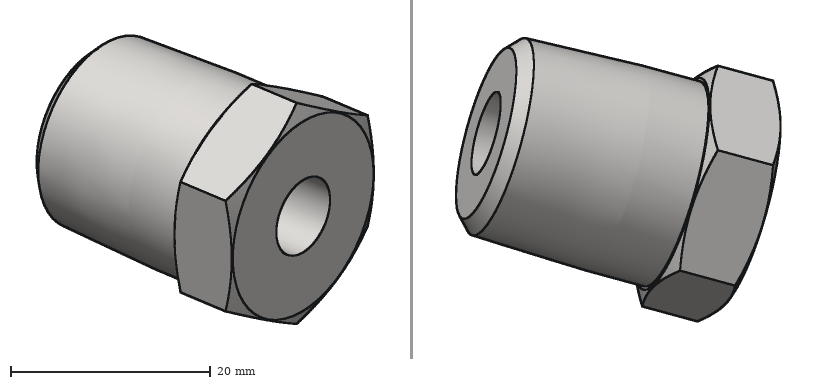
import cadquery as cq
import math

total_length = 27.43
across_flats = 22.22
across_corners = across_flats / math.cos(math.pi / 6)

head_length = 7.6
head_start = total_length - head_length
head_chamfer_angle = math.radians(25)
head_face_radius = 11.0
envelope_clearance = 0.27

shank_radius = 10.67
taper_length = 13.58
tip_radius = 10.25
tip_chamfer = 1.37

shank_bore_radius = 4.3
head_bore_radius = 4.2


def revolve_about_x(points):
    """Revolve a closed (x, radius) outline about the X axis."""
    outline = cq.Workplane("XY").polyline(points).close()
    return outline.revolve(360, (0, 0, 0), (1, 0, 0))


def make_head():
    """Hexagon with corners up and down, its corners chamfered at both ends."""
    hexagon = (
        cq.Workplane("YZ", origin=(head_start, 0, 0))
        .polygon(6, across_corners)
        .extrude(head_length)
        .rotate((0, 0, 0), (1, 0, 0), 90)
    )
    envelope_radius = across_corners / 2 + envelope_clearance
    chamfer_depth = (envelope_radius - head_face_radius) * math.tan(head_chamfer_angle)
    envelope = revolve_about_x([
        (head_start, 0),
        (head_start, head_face_radius),
        (head_start + chamfer_depth, envelope_radius),
        (total_length - chamfer_depth, envelope_radius),
        (total_length, head_face_radius),
        (total_length, 0),
    ])
    return hexagon.intersect(envelope)


def make_shank():
    """Tapered front section running into a straight neck under the head."""
    return revolve_about_x([
        (0, 0),
        (0, tip_radius - tip_chamfer),
        (tip_chamfer, tip_radius),
        (taper_length, shank_radius),
        (head_start, shank_radius),
        (head_start, 0),
    ])


def make_bore():
    """Through bore with a small shoulder where the head begins."""
    return revolve_about_x([
        (0, 0),
        (0, shank_bore_radius),
        (head_start, shank_bore_radius),
        (head_start, head_bore_radius),
        (total_length, head_bore_radius),
        (total_length, 0),
    ])


result = make_head().union(make_shank()).cut(make_bore())